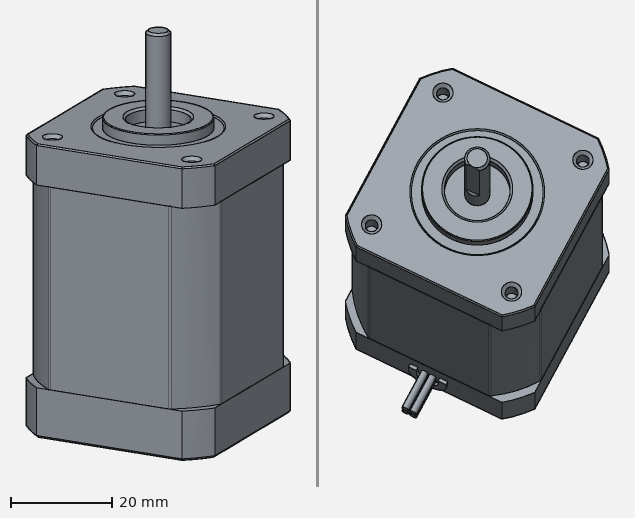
import cadquery as cq


body_width = 42.0
body_height = 61.0
bottom_cap_height = 10.4
top_cap_height = 8.5
cap_corner_diameter = 53.0
bottom_edge_chamfer = 0.5
top_edge_chamfer = 0.3

stator_width = 41.85
stator_corner_diameter = 49.7
stator_edge_fillet = 1.0

boss_diameter = 22.0
boss_height = 2.0
boss_edge_chamfer = 0.2
recess_diameter = 26.6
recess_depth = 0.3
bore_diameter = 13.0
bore_depth = 3.0
bore_chamfer = 0.5

shaft_diameter = 5.0
shaft_length = 20.0
shaft_chamfer = 0.5
flat_offset = 2.0
flat_length = 15.0

hole_spacing = 31.0
hole_diameter = 2.5
hole_mouth_diameter = 4.0
hole_depth = 4.5

outlet_center_z = 5.4
collar_outer_radius = 4.15
collar_inner_radius = 2.4
collar_arm_height = 1.9
collar_thickness = 0.75
wire_diameter = 1.5
wire_pitch = 1.75
wire_reach = 8.6

half_width = body_width / 2
stator_height = body_height - bottom_cap_height - top_cap_height
boss_top = body_height + boss_height
shaft_top = body_height + shaft_length
bore_floor = boss_top - bore_depth


def rounded_corner_prism(base_z, height, width, corner_diameter):
    """Square prism whose corners are cut by a cylinder on the motor axis."""
    square = cq.Workplane("XY").workplane(offset=base_z).rect(width, width).extrude(height)
    cylinder = cq.Workplane("XY").workplane(offset=base_z).circle(corner_diameter / 2).extrude(height)
    return square.intersect(cylinder)


def revolve_profile(profile):
    """Solid of revolution about the motor axis from (radius, z) points."""
    return cq.Workplane("XZ").polyline(profile).close().revolve(360, (0, 0), (0, 1))


def make_bottom_cap():
    cap = rounded_corner_prism(0, bottom_cap_height, body_width, cap_corner_diameter)
    return cap.faces("<Z").chamfer(bottom_edge_chamfer)


def make_top_cap():
    cap = rounded_corner_prism(body_height - top_cap_height, top_cap_height, body_width, cap_corner_diameter)
    return cap.faces(">Z").chamfer(top_edge_chamfer)


def make_stator():
    stator = rounded_corner_prism(bottom_cap_height, stator_height, stator_width, stator_corner_diameter)
    return stator.edges("|Z").fillet(stator_edge_fillet)


def make_recess():
    """Shallow conical cut around the boss, narrowing by its depth towards the floor."""
    mouth_radius = recess_diameter / 2
    floor_z = body_height - recess_depth
    profile = [
        (0, floor_z),
        (mouth_radius - recess_depth, floor_z),
        (mouth_radius, body_height),
        (0, body_height),
    ]
    return revolve_profile(profile)


def make_boss():
    boss_base = body_height - recess_depth
    boss = cq.Workplane("XY").workplane(offset=boss_base).circle(boss_diameter / 2)
    return boss.extrude(boss_top - boss_base).faces(">Z").chamfer(boss_edge_chamfer)


def make_bore():
    """Revolved bearing bore with a chamfered mouth."""
    bore_radius = bore_diameter / 2
    profile = [
        (0, bore_floor),
        (bore_radius, bore_floor),
        (bore_radius, boss_top - bore_chamfer),
        (bore_radius + bore_chamfer, boss_top),
        (0, boss_top),
    ]
    return revolve_profile(profile)


def make_mounting_holes():
    """Four blind holes with countersunk mouths in the top face."""
    hole_radius = hole_diameter / 2
    mouth_radius = hole_mouth_diameter / 2
    mouth_depth = mouth_radius - hole_radius
    profile = [
        (0, body_height - hole_depth),
        (hole_radius, body_height - hole_depth),
        (hole_radius, body_height - mouth_depth),
        (mouth_radius, body_height),
        (0, body_height),
    ]
    hole = revolve_profile(profile).val()
    corners = cq.Workplane("XY").rect(hole_spacing, hole_spacing, forConstruction=True).vertices()
    return corners.eachpoint(lambda place: hole.moved(place))


def make_shaft():
    """Shaft with a chamfered tip and a flat that runs out at 45 degrees."""
    shaft = cq.Workplane("XY").workplane(offset=bore_floor).circle(shaft_diameter / 2)
    shaft = shaft.extrude(shaft_top - bore_floor).faces(">Z").chamfer(shaft_chamfer)
    flat_end = shaft_top - flat_length
    run_out = shaft_diameter / 2 - flat_offset
    flat_profile = [
        (flat_offset, shaft_top),
        (flat_offset, flat_end),
        (flat_offset + run_out, flat_end - run_out),
        (flat_offset + run_out, shaft_top),
    ]
    flat_cut = cq.Workplane("YZ").polyline(flat_profile).close().extrude(shaft_diameter / 2, both=True)
    return shaft.cut(flat_cut)


def outlet_plane():
    """Workplane on the +Y face, centred on the cable outlet."""
    return cq.Workplane("XZ", origin=(0, half_width, outlet_center_z))


def make_collar():
    """U-shaped collar: a half ring below with two straight arms above."""
    return (
        outlet_plane()
        .moveTo(-collar_outer_radius, collar_arm_height)
        .lineTo(-collar_outer_radius, 0)
        .threePointArc((0, -collar_outer_radius), (collar_outer_radius, 0))
        .lineTo(collar_outer_radius, collar_arm_height)
        .lineTo(collar_inner_radius, collar_arm_height)
        .lineTo(collar_inner_radius, 0)
        .threePointArc((0, -collar_inner_radius), (-collar_inner_radius, 0))
        .lineTo(-collar_inner_radius, collar_arm_height)
        .close()
        .extrude(-collar_thickness)
    )


def make_wires():
    """Two rows of two wires leaving the outlet along +Y."""
    wires = outlet_plane().rarray(wire_pitch, wire_pitch, 2, 2).circle(wire_diameter / 2)
    return wires.extrude(-wire_reach)


body = make_bottom_cap().union(make_stator()).union(make_top_cap())
body = body.cut(make_recess()).union(make_boss()).cut(make_bore())
body = body.cut(make_mounting_holes())
result = body.union(make_shaft()).union(make_collar()).union(make_wires())